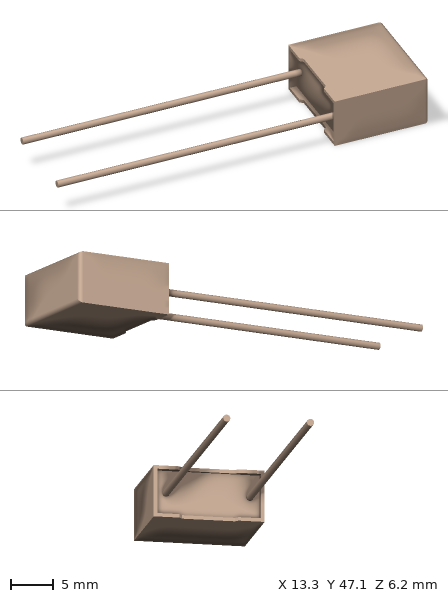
import cadquery as cq

overall_length = 47.1
case_width = 13.3
case_height = 6.2
case_length = 12.1
wall = 0.42
back_edge_radius = 0.45

fill_recess = 0.85

notch_mouth_width = 7.05
notch_floor_width = 6.3
notch_depth = 0.42

lead_diameter = 0.85
lead_pitch = 10.05

cavity_width = case_width - 2 * wall
cavity_height = case_height - 2 * wall
cavity_length = case_length - wall
fill_length = cavity_length - fill_recess
lead_tip_y = case_length - overall_length
lead_length = fill_recess - lead_tip_y


def block(width, length, height, start_y):
    """Box centred on X and Z that extends toward +Y from start_y."""
    return cq.Workplane("XY").box(width, length, height, centered=(True, False, True)).translate((0, start_y, 0))


def make_notch():
    """Sloped-sided relief across the mouth, cutting both broad walls."""
    return (
        cq.Workplane("XY")
        .polyline([
            (-notch_mouth_width / 2, 0),
            (notch_mouth_width / 2, 0),
            (notch_floor_width / 2, notch_depth),
            (-notch_floor_width / 2, notch_depth),
        ])
        .close()
        .extrude(case_height / 2, both=True)
    )


def make_case():
    shell = block(case_width, case_length, case_height, 0)
    shell = shell.faces(">Y").edges().fillet(back_edge_radius)
    cavity = block(cavity_width, cavity_length, cavity_height, 0)
    return shell.cut(cavity).cut(make_notch())


def make_fill():
    return block(cavity_width, fill_length, cavity_height, fill_recess)


def make_lead(x):
    """Round wire from the fill surface to the free tip."""
    return (
        cq.Workplane("XZ", origin=(x, fill_recess, 0))
        .circle(lead_diameter / 2)
        .extrude(lead_length)
    )


case = make_case()
fill = make_fill()
leads = [make_lead(side * lead_pitch / 2) for side in (-1, 1)]

result = cq.Compound.makeCompound([case.val(), fill.val(), *[lead.val() for lead in leads]])